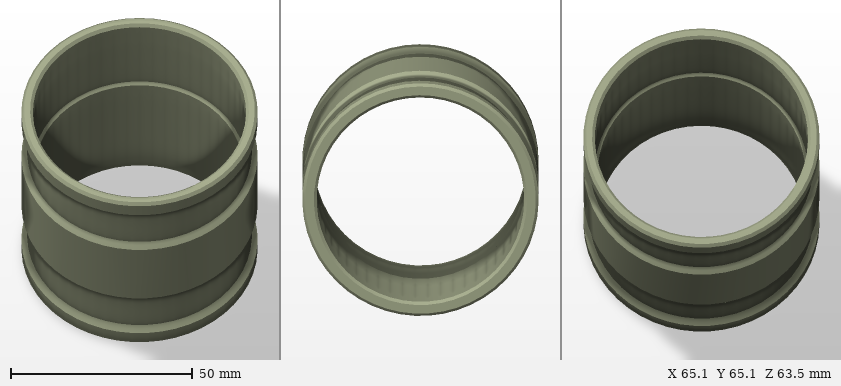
import cadquery as cq

height = 63.5
outer_radius = 65.1 / 2
neck_radius = 61.9 / 2
shoulder = outer_radius - neck_radius

collar_height = 4.9
band_height = 22.1
rim_chamfer = 0.8

bore_radius = 57.15 / 2
socket_radius = 58.7 / 2
socket_depth = 25.45
bore_step = socket_radius - bore_radius
mouth_chamfer = 0.8

band_edge = (height - band_height) / 2
neck_start = collar_height + shoulder
neck_end = band_edge - shoulder
socket_floor = height - socket_depth

lower_outside = [
    (outer_radius - rim_chamfer, 0),
    (outer_radius, rim_chamfer),
    (outer_radius, collar_height),
    (neck_radius, neck_start),
    (neck_radius, neck_end),
    (outer_radius, band_edge),
]

upper_outside = [(radius, height - z) for radius, z in reversed(lower_outside)]

inside = [
    (socket_radius + mouth_chamfer, height),
    (socket_radius, height - mouth_chamfer),
    (socket_radius, socket_floor),
    (bore_radius, socket_floor - bore_step),
    (bore_radius, mouth_chamfer),
    (bore_radius + mouth_chamfer, 0),
]

result = (
    cq.Workplane("XZ")
    .polyline(lower_outside + upper_outside + inside)
    .close()
    .revolve(360, (0, 0, 0), (0, 1, 0))
)